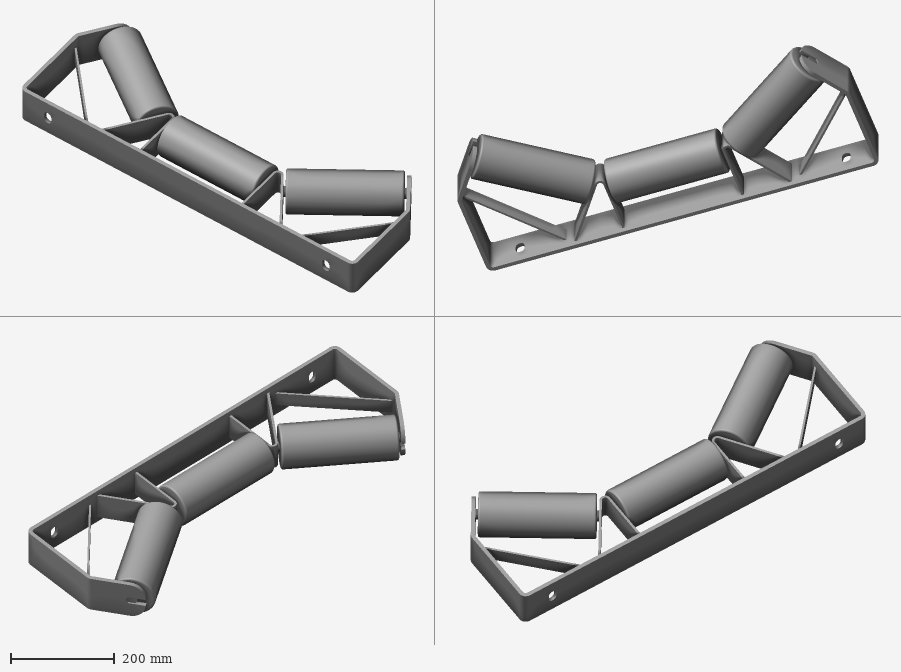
import cadquery as cq
import math

FRAME_LENGTH = 800.0
BAR_HEIGHT = 80.0
BAR_THICKNESS = 8.0
BAR_BEND_RADIUS = 14.0
KNEE_Y = 183.0
ARM_LENGTH = 113.0
ARM_CORNER_RADIUS = 32.0
MOUNT_SLOT_X = 333.0
MOUNT_SLOT_WIDTH = 18.0
MOUNT_SLOT_HEIGHT = 27.0

TILT = 35.0
ROLLER_DIAMETER = 89.0
ROLLER_LENGTH = 229.0
ROLLER_EDGE_FILLET = 4.0
ROLLER_GAP = 5.0
SHAFT_DIAMETER = 21.0
SHAFT_FLATS = 15.0
CENTER_ROLLER_Y = 102.0
ARM_TO_SHAFT = 85.0

BRACKET_HEIGHT = 56.0
BRACKET_THICKNESS = 5.0
BRACKET_BEND_RADIUS = 11.0
BRACE_HEIGHT = 30.0
BRACE_THICKNESS = 4.0
BRACE_TOP_Y = 174.0
BRACE_FOOT_X = 238.0

SIN_TILT = math.sin(math.radians(TILT))
COS_TILT = math.cos(math.radians(TILT))
HALF_LENGTH = FRAME_LENGTH / 2
ROLLER_SEAT = ROLLER_LENGTH / 2 + ROLLER_GAP
SHAFT_HALF_LENGTH = ROLLER_SEAT + BRACKET_THICKNESS
ARM_OUTER_TO_ROLLER = ROLLER_SEAT + BAR_THICKNESS


def arm_point(inward, along):
    """Point a given distance inward from the left arm's outer face and along it from the knee."""
    x = -HALF_LENGTH + inward * COS_TILT + along * SIN_TILT
    y = KNEE_Y - inward * SIN_TILT + along * COS_TILT
    return x, y


SIDE_ROLLER_X, SIDE_ROLLER_Y = arm_point(ARM_OUTER_TO_ROLLER, ARM_TO_SHAFT)


def mirrored(body):
    """The body's twin on the other side of the middle plane."""
    return body.mirror("YZ")


def bar(outline, height):
    """Plan outline extruded to a height centred on Z = 0."""
    return cq.Workplane("XY").polyline(outline).close().extrude(height / 2, both=True)


def edge_at(x, y):
    """Selector box around the upright edge at a plan position."""
    reach = BRACKET_THICKNESS / 10
    return cq.selectors.BoxSelector((x - reach, y - reach, -BAR_HEIGHT), (x + reach, y + reach, BAR_HEIGHT))


def place(body, x, y, turn):
    """Turn a body about Z and move it to a plan position."""
    return body.rotate((0, 0, 0), (0, 0, 1), turn).translate((x, y, 0))


def rod(diameter, length):
    """Round rod along X, centred on the origin."""
    return cq.Workplane("YZ", origin=(-length / 2, 0, 0)).circle(diameter / 2).extrude(length)


def shaft_bar(half_length):
    """Shaft along X: a round bar with a flat above and below."""
    section = rod(SHAFT_DIAMETER, 2 * half_length)
    flats = cq.Workplane("XY").box(2 * half_length, SHAFT_DIAMETER, SHAFT_FLATS)
    return section.intersect(flats)


def make_roller():
    """Roller with its shaft, centred on the origin along X."""
    shell = rod(ROLLER_DIAMETER, ROLLER_LENGTH)
    shell = shell.faces("|X").edges().fillet(ROLLER_EDGE_FILLET)
    return shell.union(shaft_bar(SHAFT_HALF_LENGTH))


def arm_slot():
    """Cutter for the left arm's shaft slot, open at the arm's tip."""
    depth = ARM_OUTER_TO_ROLLER + BAR_THICKNESS
    opening = cq.Workplane("XY").box(depth, ARM_LENGTH, SHAFT_FLATS)
    opening = opening.translate((-depth / 2, ARM_LENGTH / 2, 0))
    bottom = shaft_bar(depth / 2).translate((-depth / 2, 0, 0))
    return place(bottom.union(opening), SIDE_ROLLER_X, SIDE_ROLLER_Y, -TILT)


def make_half_frame():
    """Left half of the frame: base, side and tilted arm."""
    inner_knee = (
        -HALF_LENGTH + BAR_THICKNESS,
        KNEE_Y - BAR_THICKNESS * math.tan(math.radians(TILT / 2)),
    )
    inner_corner = (-HALF_LENGTH + BAR_THICKNESS, BAR_THICKNESS)
    half = bar(
        [
            (0, 0),
            (-HALF_LENGTH, 0),
            (-HALF_LENGTH, KNEE_Y),
            arm_point(0, ARM_LENGTH),
            arm_point(BAR_THICKNESS, ARM_LENGTH),
            inner_knee,
            inner_corner,
            (0, BAR_THICKNESS),
        ],
        BAR_HEIGHT,
    )
    inner_radius = BAR_BEND_RADIUS - BAR_THICKNESS
    half = half.edges(edge_at(-HALF_LENGTH, 0)).fillet(BAR_BEND_RADIUS)
    half = half.edges(edge_at(*inner_corner)).fillet(inner_radius)
    half = half.edges(edge_at(-HALF_LENGTH, KNEE_Y)).fillet(BAR_BEND_RADIUS)
    half = half.edges(edge_at(*inner_knee)).fillet(inner_radius)

    across_arm = cq.Vector(*arm_point(8, 0)) - cq.Vector(*arm_point(0, 0))
    half = half.edges(cq.selectors.ParallelDirSelector(across_arm)).fillet(ARM_CORNER_RADIUS)

    mount_slot = (
        cq.Workplane("XZ")
        .center(-MOUNT_SLOT_X, 0)
        .slot2D(MOUNT_SLOT_HEIGHT, MOUNT_SLOT_WIDTH, 90)
        .extrude(-BAR_THICKNESS)
    )
    return half.cut(mount_slot).cut(arm_slot())


def make_frame():
    """Whole frame in one piece, joined at the middle plane."""
    half = make_half_frame()
    return half.union(mirrored(half))


def make_left_bracket(rollers):
    """Folded strip with a shaft hole in each leg, for the centre roller and the left roller."""
    leg_x = -ROLLER_SEAT
    tilted_face = ARM_OUTER_TO_ROLLER + ROLLER_SEAT

    def tilted_x(inward, y):
        """X on a line parallel to the arm, a given distance inward from its outer face."""
        foot_x, foot_y = arm_point(inward, 0)
        return foot_x + (y - foot_y) * SIN_TILT / COS_TILT

    def peak(inward, x):
        """Y where a line parallel to the arm reaches a given X."""
        foot_x, foot_y = arm_point(inward, 0)
        return foot_y + (x - foot_x) * COS_TILT / SIN_TILT

    inner_x = leg_x - BRACKET_THICKNESS
    inner_face = tilted_face + BRACKET_THICKNESS
    outer_peak = (leg_x, peak(tilted_face, leg_x))
    inner_peak = (inner_x, peak(inner_face, inner_x))
    bracket = bar(
        [
            (leg_x, BAR_THICKNESS),
            outer_peak,
            (tilted_x(tilted_face, BAR_THICKNESS), BAR_THICKNESS),
            (tilted_x(inner_face, BAR_THICKNESS), BAR_THICKNESS),
            inner_peak,
            (inner_x, BAR_THICKNESS),
        ],
        BRACKET_HEIGHT,
    )
    bracket = bracket.edges(edge_at(*outer_peak)).fillet(BRACKET_BEND_RADIUS)
    bracket = bracket.edges(edge_at(*inner_peak)).fillet(BRACKET_BEND_RADIUS - BRACKET_THICKNESS)
    for roller in rollers:
        bracket = bracket.cut(roller)
    return bracket


def make_left_brace():
    """Thin diagonal strip from the frame's side to its base."""
    top_x = -HALF_LENGTH + BAR_THICKNESS
    rise = BRACE_TOP_Y - BAR_THICKNESS
    run = -BRACE_FOOT_X - top_x
    length = math.hypot(rise, run)
    return bar(
        [
            (top_x, BRACE_TOP_Y),
            (-BRACE_FOOT_X, BAR_THICKNESS),
            (-BRACE_FOOT_X - BRACE_THICKNESS * length / rise, BAR_THICKNESS),
            (top_x, BRACE_TOP_Y - BRACE_THICKNESS * length / run),
        ],
        BRACE_HEIGHT,
    )


frame = make_frame()
center_roller = place(make_roller(), 0, CENTER_ROLLER_Y, 0)
left_roller = place(make_roller(), SIDE_ROLLER_X, SIDE_ROLLER_Y, -TILT)
left_bracket = make_left_bracket([center_roller, left_roller])
left_brace = make_left_brace()

bodies = [frame, center_roller]
for left_body in (left_roller, left_bracket, left_brace):
    bodies.append(left_body)
    bodies.append(mirrored(left_body))

result = cq.Compound.makeCompound([body.val() for body in bodies])